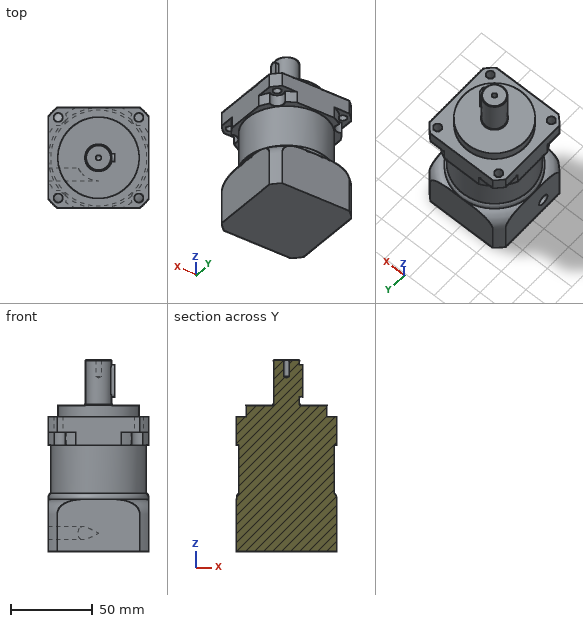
import cadquery as cq
import math

TOTAL_HEIGHT = 118.0
BASE_TOP = 32.3
BODY_BOTTOM = 36.0
FLANGE_BOTTOM = 65.5
RELIEF_TOP = 73.4
FLANGE_TOP = 83.1
PILOT_TOP = 90.0

SQUARE_SIDE = 62.0
CORNER_RADIUS = 40.0
DOME_FILLET = 9.0

BODY_RADIUS = 29.5
RING_RADIUS = 30.9
RING_FILLET = 3.5
PILOT_RADIUS = 25.0

SHAFT_RADIUS = 8.0
SHAFT_CHAMFER = 0.5
COLLAR_RADIUS = 8.4
COLLAR_HEIGHT = 0.7
CENTER_HOLE_RADIUS = 1.7
CENTER_HOLE_DEPTH = 10.0
DRILL_POINT_ANGLE = 118.0

KEY_LENGTH = 20.1
KEY_WIDTH = 5.0
KEY_OUTER_X = 10.0
KEY_SEAT_X = 5.0
KEY_END_GAP = 3.0

BOLT_CIRCLE_RADIUS = 35.0
BOLT_HOLE_RADIUS = 2.77
RELIEF_RADIUS = 34.0
SCREW_HEAD_RADIUS = 5.0

ACCESS_RADIUS = 4.0
ACCESS_Y = -10.0
ACCESS_Z = 11.6
HUB_RADIUS = 14.0


def cylinder(radius, bottom, top):
    return cq.Workplane("XY").workplane(offset=bottom).circle(radius).extrude(top - bottom)


def square_block(bottom, top):
    return cq.Workplane("XY").workplane(offset=bottom).rect(SQUARE_SIDE, SQUARE_SIDE).extrude(top - bottom)


def corner_cylinders(radius, bottom, top):
    """Four upright cylinders at the mounting hole centres."""
    spacing = BOLT_CIRCLE_RADIUS * math.sqrt(2)
    plane = cq.Workplane("XY").workplane(offset=bottom)
    return plane.rect(spacing, spacing, forConstruction=True).vertices().circle(radius).extrude(top - bottom)


def make_base():
    """Square motor adapter whose corners run up into a rounded dome."""
    dome = cylinder(CORNER_RADIUS, 0, BASE_TOP).faces(">Z").edges().fillet(DOME_FILLET)
    base = dome.intersect(square_block(0, BASE_TOP))
    access = (
        cq.Workplane("YZ", origin=(-SQUARE_SIDE / 2, 0, 0))
        .center(ACCESS_Y, ACCESS_Z)
        .circle(ACCESS_RADIUS)
        .extrude(SQUARE_SIDE / 2)
    )
    return base.cut(access.cut(cylinder(HUB_RADIUS, 0, BASE_TOP)))


def make_ring():
    """Shoulder ring that curves in from its rim to the round body."""
    arc_center_r = RING_RADIUS - RING_FILLET
    arc_rise = math.sqrt(RING_FILLET**2 - (BODY_RADIUS - arc_center_r) ** 2)
    arc_start_z = BODY_BOTTOM - arc_rise
    mid_angle = math.atan2(arc_rise, BODY_RADIUS - arc_center_r) / 2
    arc_middle = (
        arc_center_r + RING_FILLET * math.cos(mid_angle),
        arc_start_z + RING_FILLET * math.sin(mid_angle),
    )
    return (
        cq.Workplane("XZ")
        .moveTo(0, BASE_TOP)
        .lineTo(RING_RADIUS, BASE_TOP)
        .lineTo(RING_RADIUS, arc_start_z)
        .threePointArc(arc_middle, (BODY_RADIUS, BODY_BOTTOM))
        .lineTo(0, BODY_BOTTOM)
        .close()
        .revolve(360, (0, 0, 0), (0, 1, 0))
    )


def make_flange():
    """Square flange, relieved below its corners for screw heads and drilled for mounting screws."""
    flange = square_block(FLANGE_BOTTOM, FLANGE_TOP).intersect(
        cylinder(CORNER_RADIUS, FLANGE_BOTTOM, FLANGE_TOP)
    )
    relief = square_block(FLANGE_BOTTOM, RELIEF_TOP).cut(cylinder(RELIEF_RADIUS, FLANGE_BOTTOM, RELIEF_TOP))
    screw_heads = corner_cylinders(SCREW_HEAD_RADIUS, FLANGE_BOTTOM, RELIEF_TOP)
    bolt_holes = corner_cylinders(BOLT_HOLE_RADIUS, RELIEF_TOP, FLANGE_TOP)
    return flange.cut(relief).cut(screw_heads).cut(bolt_holes)


def make_shaft():
    """Chamfered shaft with a stepped collar at its foot and a drilled centre hole."""
    point_depth = CENTER_HOLE_RADIUS / math.tan(math.radians(DRILL_POINT_ANGLE / 2))
    hole_bottom = TOTAL_HEIGHT - CENTER_HOLE_DEPTH
    return (
        cq.Workplane("XZ")
        .moveTo(0, PILOT_TOP)
        .lineTo(COLLAR_RADIUS, PILOT_TOP)
        .lineTo(COLLAR_RADIUS, PILOT_TOP + COLLAR_HEIGHT)
        .lineTo(SHAFT_RADIUS, PILOT_TOP + COLLAR_HEIGHT)
        .lineTo(SHAFT_RADIUS, TOTAL_HEIGHT - SHAFT_CHAMFER)
        .lineTo(SHAFT_RADIUS - SHAFT_CHAMFER, TOTAL_HEIGHT)
        .lineTo(CENTER_HOLE_RADIUS, TOTAL_HEIGHT)
        .lineTo(CENTER_HOLE_RADIUS, hole_bottom)
        .lineTo(0, hole_bottom - point_depth)
        .close()
        .revolve(360, (0, 0, 0), (0, 1, 0))
    )


def make_key():
    """Round-ended key seated in the +X side of the shaft."""
    key_middle_z = TOTAL_HEIGHT - KEY_END_GAP - KEY_LENGTH / 2
    return (
        cq.Workplane("YZ", origin=(KEY_SEAT_X, 0, key_middle_z))
        .slot2D(KEY_LENGTH, KEY_WIDTH, 90)
        .extrude(KEY_OUTER_X - KEY_SEAT_X)
    )


result = (
    make_base()
    .union(make_ring())
    .union(cylinder(BODY_RADIUS, BODY_BOTTOM, FLANGE_BOTTOM))
    .union(make_flange())
    .union(cylinder(PILOT_RADIUS, FLANGE_TOP, PILOT_TOP))
    .union(make_shaft())
    .union(make_key())
)